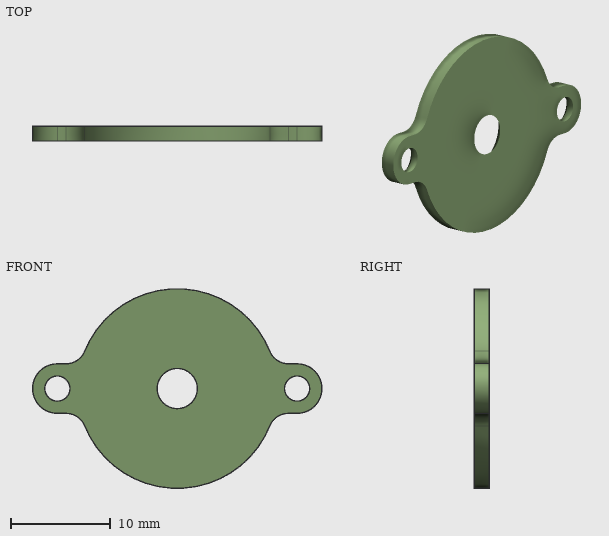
import cadquery as cq

overall_length = 29.0
thickness = 1.5
disc_diameter = 20.0
centre_hole_diameter = 4.0
ear_width = 5.0
ear_hole_diameter = 2.5
ear_hole_straight_depth = 0.75
neck_fillet_radius = 2.0

ear_centre_x = (overall_length - ear_width) / 2


def flat_plate(sketch):
    """Extrude an XZ outline evenly to both sides of the XZ plane."""
    return sketch.extrude(thickness / 2, both=True)


disc = flat_plate(cq.Workplane("XZ").circle(disc_diameter / 2))
ear_bar = flat_plate(cq.Workplane("XZ").slot2D(overall_length, ear_width))
plate = disc.union(ear_bar)

neck_zone = cq.selectors.BoxSelector(
    (-disc_diameter / 2, -thickness, -ear_width),
    (disc_diameter / 2, thickness, ear_width),
)
plate = plate.edges("|Y").edges(neck_zone).fillet(neck_fillet_radius)



def drilled_hole(diameter, straight_depth):
    """Revolved cutter: straight from the -Y face, then a 45 degree flare out to the +Y face."""
    radius = diameter / 2
    front_y = -thickness / 2
    back_y = thickness / 2
    flare_start_y = front_y + straight_depth
    flare_radius = radius + back_y - flare_start_y
    profile = cq.Workplane("XY").moveTo(0, front_y).lineTo(radius, front_y)
    if straight_depth > 0:
        profile = profile.lineTo(radius, flare_start_y)
    profile = profile.lineTo(flare_radius, back_y).lineTo(0, back_y).close()
    return profile.revolve(360, (0, 0), (0, 1))


plate = plate.cut(drilled_hole(centre_hole_diameter, 0))
ear_hole = drilled_hole(ear_hole_diameter, ear_hole_straight_depth)
for side in (-1, 1):
    plate = plate.cut(ear_hole.translate((side * ear_centre_x, 0, 0)))

result = plate